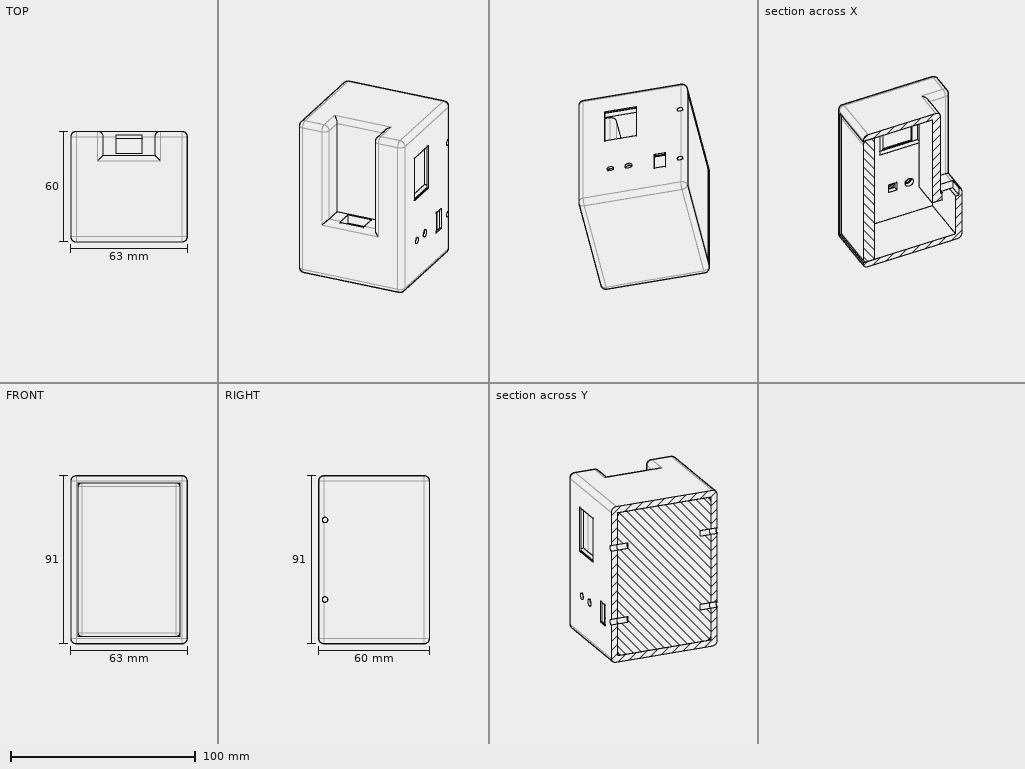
import cadquery as cq

width = 63.0
depth = 60.0
height = 91.0
wall = 4.0
edge_radius = 3.0

left = -width / 2
front = -depth / 2
back = depth / 2
bottom = -height / 2
top = height / 2
cavity_width = width - 2 * wall
cavity_height = height - 2 * wall

notch_width = 28.0
notch_depth = 13.0
notch_floor = bottom + 35.0
notch_side_wall = 4.5
notch_front_wall = 5.0
notch_floor_wall = 5.0
notch_block_radius = 3.0

passage_width = 14.0
passage_length = 10.0
passage_back_gap = 2.0

skin = 1.0
display_back = back - 14.9
display_length = 17.5
display_bottom = bottom + 50.3
display_height = 25.5
display_side_margin = 3.5
display_end_margin = 0.25
switch_back = back - 42.2
switch_length = 6.3
switch_bottom = bottom + 19.0
switch_height = 12.0
switch_margin = 3.0
hole_skin = 1.5
hole_height = bottom + 25.0
small_hole_diameter = 3.5
small_hole_y = back - 18.0
small_counterbore = 5.0
large_hole_diameter = 4.0
large_hole_y = back - 28.0
large_hole_recess = 5.0

cover_thickness = 7.0
cover_radius = 2.0
screw_diameter = 3.0
screw_y = front + cover_thickness / 2
screw_heights = (-21.5, 21.5)
screw_depth_in_cover = 6.0

pick_margin = 1.0


def block(x_min, x_max, y_min, y_max, z_min, z_max):
    """Box between the given limits."""
    size = (x_max - x_min, y_max - y_min, z_max - z_min)
    return cq.Workplane("XY").box(*size, centered=False).translate((x_min, y_min, z_min))


def side_hole(diameter, y, z, x_start, length):
    """Cylinder along +X that starts at x_start."""
    plane = cq.Workplane("YZ", origin=(x_start, y, z))
    return plane.circle(diameter / 2).extrude(length)


def make_outer_body():
    """Rounded box with the notch; the inner corners of the notch stay sharp."""
    half = notch_width / 2
    notch_front = back - notch_depth
    body = block(left, -left, front, back, bottom, top)
    body = body.cut(block(-half, half, notch_front, back, notch_floor, top))
    inner_corners = cq.selectors.BoxSelector(
        (-half - pick_margin, notch_front - pick_margin, notch_floor - pick_margin),
        (half + pick_margin, back - pick_margin, top - pick_margin),
    )
    return body.edges(cq.selectors.InverseSelector(inner_corners)).fillet(edge_radius)


def make_cavity():
    """Inside of the housing, which goes round the notch and its wall."""
    half = notch_width / 2 + notch_side_wall
    block_front = back - notch_depth - notch_front_wall
    block_bottom = notch_floor - notch_floor_wall
    cavity_half = cavity_width / 2
    cavity_top = cavity_height / 2
    room = block(-cavity_half, cavity_half, front, back - wall, -cavity_top, cavity_top)
    room = room.cut(block(-half, half, block_front, back, block_bottom, cavity_top))
    middle = (block_bottom + cavity_top) / 2
    upright_edges = cq.selectors.BoxSelector(
        (-half - pick_margin, block_front - pick_margin, middle - pick_margin),
        (half + pick_margin, back, middle + pick_margin),
    )
    return room.edges(upright_edges).fillet(notch_block_radius)


def make_passage():
    """Cutter for the passage in the notch floor."""
    half = passage_width / 2
    y_max = back - passage_back_gap
    return block(-half, half, y_max - passage_length, y_max, notch_floor - notch_floor_wall, notch_floor)


def side_window(y_max, length, z_min, window_height, side_margin, end_margin):
    """Cutter for a window in the -X wall with a larger recess behind its skin."""
    inner = left + wall
    y_min = y_max - length
    z_max = z_min + window_height
    window = block(left, inner, y_min, y_max, z_min, z_max)
    recess = block(
        left + skin,
        inner,
        y_min - side_margin,
        y_max + side_margin,
        z_min - end_margin,
        z_max + end_margin,
    )
    return window.union(recess)


def make_small_hole():
    """Cutter for the small hole with its round counterbore behind the skin."""
    hole = side_hole(small_hole_diameter, small_hole_y, hole_height, left, wall)
    counterbore = side_hole(small_counterbore, small_hole_y, hole_height, left + hole_skin, wall - hole_skin)
    return hole.union(counterbore)


def make_large_hole():
    """Cutter for the large hole with its square recess behind the skin."""
    hole = side_hole(large_hole_diameter, large_hole_y, hole_height, left, wall)
    half = large_hole_recess / 2
    recess = block(
        left + hole_skin,
        left + wall,
        large_hole_y - half,
        large_hole_y + half,
        hole_height - half,
        hole_height + half,
    )
    return hole.union(recess)


def make_screw_holes():
    """Cutter for the cover screws, blind from each side."""
    length = wall + screw_depth_in_cover
    cutter = cq.Workplane("XY")
    for z in screw_heights:
        for x_start in (left, -left - length):
            cutter = cutter.add(side_hole(screw_diameter, screw_y, z, x_start, length))
    return cutter.combine()


def make_display_window():
    """Cutter for the large window in the -X wall."""
    return side_window(
        display_back,
        display_length,
        display_bottom,
        display_height,
        display_side_margin,
        display_end_margin,
    )


def make_switch_window():
    """Cutter for the small window in the -X wall."""
    return side_window(
        switch_back,
        switch_length,
        switch_bottom,
        switch_height,
        switch_margin,
        switch_margin,
    )


def make_housing():
    """Shell with the notch and all its openings."""
    housing = make_outer_body().cut(make_cavity()).cut(make_passage())
    housing = housing.cut(make_display_window()).cut(make_switch_window())
    housing = housing.cut(make_small_hole()).cut(make_large_hole())
    return housing.cut(make_screw_holes())


def make_cover():
    """Plate that fills the front opening, rounded on its face and its four corners."""
    half = cavity_width / 2
    half_height = cavity_height / 2
    plate = block(-half, half, front, front + cover_thickness, -half_height, half_height)
    plate = plate.edges("|Y or <Y").fillet(cover_radius)
    return plate.cut(make_screw_holes())


housing = make_housing()
cover = make_cover()

result = cq.Compound.makeCompound([housing.val(), cover.val()])